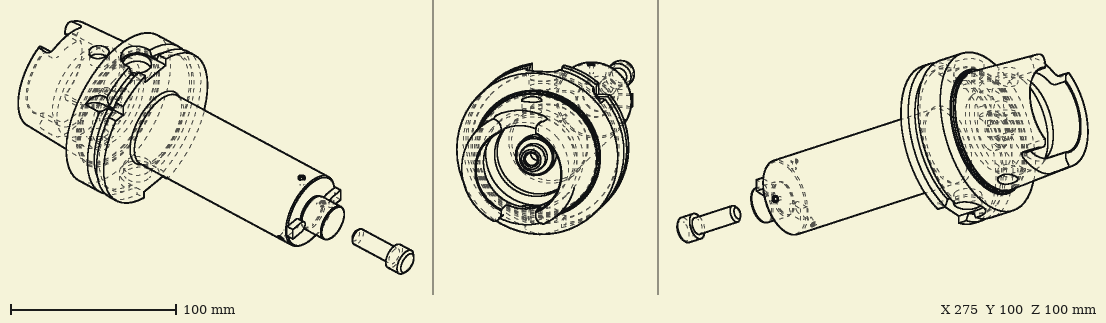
import cadquery as cq
import math

OVERALL_LENGTH = 275.0

FLANGE_START = 50.0
TAPER_BASE_RADIUS = 37.7
TAPER_TIP_RADIUS = 35.5
TIP_ROUNDING = 1.6
RELIEF_WIDTH = 2.5
RELIEF_DEPTH = 1.0
FACE_RECESS_RADIUS = 39.3
FACE_RECESS_DEPTH = 0.8

FLANGE_RADIUS = 50.0
FLANGE_END = 79.2
GROOVE_CENTRE = 70.0
GROOVE_OUTER_WIDTH = 7.2
GROOVE_INNER_WIDTH = 3.5
GROOVE_FLOOR_RADIUS = 45.6

ARBOR_RADIUS = 47.0 / 2
ARBOR_END = 200.2
ARBOR_CHAMFER = 0.8
NECK_LENGTH = 2.5
NECK_HEIGHT = 1.0
PILOT_RADIUS = 22.3 / 2
PILOT_RELIEF_RADIUS = 21.0 / 2
PILOT_RELIEF_WIDTH = 1.6
PILOT_RELIEF_SLOPE = 0.8
PILOT_END = 217.2
PILOT_TIP_RADIUS = 21.7 / 2
PILOT_TIP_LENGTH = 0.8

BORE_RADIUS = 26.5
BORE_CHAMFER = 0.5
BORE_LAND_END = 20.0
UNDERCUT_RADIUS = 30.2
UNDERCUT_START = 26.7
UNDERCUT_END = 42.5
BORE_FLOOR_RADIUS = 24.8
BORE_DEPTH = 49.5
NUT_RADIUS = 24.0 / 2
NUT_START = 42.5
NUT_CHAMFER = 0.8
TUBE_RADIUS = 16.0 / 2
TUBE_TIP_RADIUS = 12.0 / 2
TUBE_START = 34.0
TUBE_CHAMFER_LENGTH = 3.3
TUBE_HOLE_RADIUS = 7.7 / 2
TUBE_HOLE_CHAMFER = 0.8

SLOT_DEPTH_TOP = 10.0
SLOT_DEPTH_BOTTOM = 14.8
SLOT_HALF_WIDTH = 10.7
SLOT_FLARE_START = 26.5
SLOT_FLARE_RADIUS = 5.5
SLOT_FLOOR_FILLET = 2.8

ACCESS_HOLE_RADIUS = 12.0 / 2
ACCESS_HOLE_X = 35.2

KEYWAY_HALF_WIDTH_TOP = 10.0
KEYWAY_HALF_WIDTH_BOTTOM = 11.0
KEYWAY_END_X = 65.0
KEYWAY_FLOOR = 44.0
KEYWAY_HOLE_RADIUS = 8.5
KEYWAY_HOLE_DEPTH = 5.5
NOTCH_HALF_WIDTH = 10.0
NOTCH_CENTRE_Y = -41.2
NOTCH_FLOOR = 32.2

KEY_ROOT = 198.0
KEY_END = 204.5
KEY_HALF_WIDTH = 3.8
KEY_ROUND_CENTRE = 15.0
KEY_OUTER = 23.0

OUTLET_X = 192.8
OUTLET_RADIUS = 4.0 / 2
OUTLET_DEPTH = 0.8
OUTLET_BORE_RADIUS = 2.3 / 2
OUTLET_BORE_DEPTH = 5.5
OUTLET_COUNT = 3

SCREW_START = 234.8
SCREW_HEAD_START = 264.5
SCREW_SHANK_RADIUS = 10.5 / 2
SCREW_TIP_CHAMFER = 1.6
SCREW_HEAD_RADIUS = 16.0 / 2
SCREW_HEAD_CHAMFER = 1.6

CLEARANCE = 2.8


def turned(points):
    """Revolve a closed (x, radius) outline about the X axis."""
    return cq.Workplane("XY").polyline(points).close().revolve(360, (0, 0, 0), (1, 0, 0))


def vertical_cylinder(x, y, radius, z_low, z_high):
    return cq.Workplane("XY", origin=(x, y, z_low)).circle(radius).extrude(z_high - z_low)


def turned_below(shape):
    """The same shape on the opposite side of the X axis."""
    return shape.rotate((0, 0, 0), (1, 0, 0), 180)


def holder_blank():
    relief_start = FLANGE_START - RELIEF_WIDTH
    relief_radius = TAPER_BASE_RADIUS - RELIEF_DEPTH
    recess_floor = FLANGE_START + FACE_RECESS_DEPTH
    half_outer = GROOVE_OUTER_WIDTH / 2
    half_inner = GROOVE_INNER_WIDTH / 2
    pilot_start = ARBOR_END + PILOT_RELIEF_WIDTH
    round_middle = TIP_ROUNDING * (1 - math.sqrt(0.5))
    outline = (
        cq.Workplane("XY")
        .lineTo(0, TAPER_TIP_RADIUS - TIP_ROUNDING)
        .threePointArc((round_middle, TAPER_TIP_RADIUS - round_middle), (TIP_ROUNDING, TAPER_TIP_RADIUS))
        .lineTo(relief_start, TAPER_BASE_RADIUS)
        .lineTo(relief_start + RELIEF_DEPTH, relief_radius)
        .lineTo(FLANGE_START, relief_radius)
        .lineTo(recess_floor, relief_radius + FACE_RECESS_DEPTH)
        .lineTo(recess_floor, FACE_RECESS_RADIUS - FACE_RECESS_DEPTH)
        .lineTo(FLANGE_START, FACE_RECESS_RADIUS)
        .lineTo(FLANGE_START, FLANGE_RADIUS)
        .lineTo(GROOVE_CENTRE - half_outer, FLANGE_RADIUS)
        .lineTo(GROOVE_CENTRE - half_inner, GROOVE_FLOOR_RADIUS)
        .lineTo(GROOVE_CENTRE + half_inner, GROOVE_FLOOR_RADIUS)
        .lineTo(GROOVE_CENTRE + half_outer, FLANGE_RADIUS)
        .lineTo(FLANGE_END, FLANGE_RADIUS)
        .lineTo(FLANGE_END, ARBOR_RADIUS + NECK_HEIGHT)
        .lineTo(FLANGE_END + NECK_LENGTH, ARBOR_RADIUS)
        .lineTo(ARBOR_END - ARBOR_CHAMFER, ARBOR_RADIUS)
        .lineTo(ARBOR_END, ARBOR_RADIUS - ARBOR_CHAMFER)
        .lineTo(ARBOR_END, PILOT_RELIEF_RADIUS)
        .lineTo(pilot_start - PILOT_RELIEF_SLOPE, PILOT_RELIEF_RADIUS)
        .lineTo(pilot_start, PILOT_RADIUS)
        .lineTo(PILOT_END - PILOT_TIP_LENGTH, PILOT_RADIUS)
        .lineTo(PILOT_END, PILOT_TIP_RADIUS)
        .lineTo(PILOT_END, 0)
        .close()
    )
    return outline.revolve(360, (0, 0, 0), (1, 0, 0))


def bore_cutter():
    """Bore with an undercut behind its land, leaving the coolant tube and its nut on the floor."""
    return turned([
        (0, 0),
        (0, BORE_RADIUS + BORE_CHAMFER),
        (BORE_CHAMFER, BORE_RADIUS),
        (BORE_LAND_END, BORE_RADIUS),
        (UNDERCUT_START, UNDERCUT_RADIUS),
        (UNDERCUT_END, UNDERCUT_RADIUS),
        (UNDERCUT_END, BORE_FLOOR_RADIUS),
        (BORE_DEPTH, BORE_FLOOR_RADIUS),
        (BORE_DEPTH, NUT_RADIUS),
        (NUT_START + NUT_CHAMFER, NUT_RADIUS),
        (NUT_START, NUT_RADIUS - NUT_CHAMFER),
        (NUT_START, TUBE_RADIUS),
        (TUBE_START + TUBE_CHAMFER_LENGTH, TUBE_RADIUS),
        (TUBE_START, TUBE_TIP_RADIUS),
        (TUBE_START, TUBE_HOLE_RADIUS + TUBE_HOLE_CHAMFER),
        (TUBE_START + TUBE_HOLE_CHAMFER, TUBE_HOLE_RADIUS),
        (BORE_DEPTH, TUBE_HOLE_RADIUS),
        (BORE_DEPTH, 0),
    ])


def drive_slot(depth):
    """Slot whose flanks flare outwards and blend into its floor."""
    flare_top = SLOT_FLARE_START + SLOT_FLARE_RADIUS
    diagonal = SLOT_FLARE_RADIUS * math.sqrt(0.5)
    bend = (SLOT_HALF_WIDTH + SLOT_FLARE_RADIUS - diagonal, SLOT_FLARE_START + diagonal)
    outer = SLOT_HALF_WIDTH + SLOT_FLARE_RADIUS
    roof = TAPER_BASE_RADIUS + SLOT_FLARE_RADIUS
    base = BORE_RADIUS / 2
    return (
        cq.Workplane("YZ")
        .moveTo(-SLOT_HALF_WIDTH, base)
        .lineTo(SLOT_HALF_WIDTH, base)
        .lineTo(SLOT_HALF_WIDTH, SLOT_FLARE_START)
        .threePointArc(bend, (outer, flare_top))
        .lineTo(outer, roof)
        .lineTo(-outer, roof)
        .lineTo(-outer, flare_top)
        .threePointArc((-bend[0], bend[1]), (-SLOT_HALF_WIDTH, SLOT_FLARE_START))
        .close()
        .extrude(depth)
        .faces(">X").edges().fillet(SLOT_FLOOR_FILLET)
    )


def milled_slot(centre_y, half_width, floor):
    """Round-ended slot milled along Z, open towards +X at the flange rear."""
    height = FLANGE_RADIUS - floor + CLEARANCE
    run = FLANGE_END - KEYWAY_END_X
    channel = cq.Workplane("XY").box(run, 2 * half_width, height, centered=(False, True, False))
    channel = channel.translate((KEYWAY_END_X, centre_y, floor))
    return channel.union(
        vertical_cylinder(KEYWAY_END_X, centre_y, half_width, floor, floor + height)
    )


def keyway(half_width):
    pocket = vertical_cylinder(
        KEYWAY_END_X, 0, KEYWAY_HOLE_RADIUS, KEYWAY_FLOOR - KEYWAY_HOLE_DEPTH, FLANGE_RADIUS
    )
    return milled_slot(0, half_width, KEYWAY_FLOOR).union(pocket)


def drive_key():
    """Key on the +Y side of the arbor face, rounded at its inner end and rooted in the arbor."""
    face = cq.Workplane("YZ", origin=(KEY_ROOT, 0, 0))
    return (
        face.moveTo(KEY_OUTER, -KEY_HALF_WIDTH)
        .lineTo(KEY_OUTER, KEY_HALF_WIDTH)
        .lineTo(KEY_ROUND_CENTRE, KEY_HALF_WIDTH)
        .threePointArc(
            (KEY_ROUND_CENTRE - KEY_HALF_WIDTH, 0), (KEY_ROUND_CENTRE, -KEY_HALF_WIDTH)
        )
        .close()
        .extrude(KEY_END - KEY_ROOT)
    )


def coolant_outlet():
    mouth = vertical_cylinder(
        OUTLET_X, 0, OUTLET_RADIUS, ARBOR_RADIUS - OUTLET_DEPTH, ARBOR_RADIUS + CLEARANCE
    )
    passage = vertical_cylinder(
        OUTLET_X, 0, OUTLET_BORE_RADIUS, ARBOR_RADIUS - OUTLET_BORE_DEPTH, ARBOR_RADIUS
    )
    return mouth.union(passage)


def access_hole():
    """Radial hole from the bore out through the taper wall."""
    return vertical_cylinder(
        ACCESS_HOLE_X, 0, ACCESS_HOLE_RADIUS, BORE_FLOOR_RADIUS, TAPER_BASE_RADIUS + CLEARANCE
    )


def make_holder():
    holder = holder_blank().union(drive_key()).union(turned_below(drive_key()))
    holder = holder.cut(bore_cutter())
    holder = holder.cut(drive_slot(SLOT_DEPTH_TOP))
    holder = holder.cut(turned_below(drive_slot(SLOT_DEPTH_BOTTOM)))
    holder = holder.cut(milled_slot(NOTCH_CENTRE_Y, NOTCH_HALF_WIDTH, NOTCH_FLOOR))
    holder = holder.cut(access_hole()).cut(turned_below(access_hole()))
    holder = holder.cut(keyway(KEYWAY_HALF_WIDTH_TOP))
    holder = holder.cut(turned_below(keyway(KEYWAY_HALF_WIDTH_BOTTOM)))
    for index in range(OUTLET_COUNT):
        angle = index * 360 / OUTLET_COUNT
        holder = holder.cut(coolant_outlet().rotate((0, 0, 0), (1, 0, 0), angle))
    return holder


def make_screw():
    return turned([
        (SCREW_START, 0),
        (SCREW_START, SCREW_SHANK_RADIUS - SCREW_TIP_CHAMFER),
        (SCREW_START + SCREW_TIP_CHAMFER, SCREW_SHANK_RADIUS),
        (SCREW_HEAD_START, SCREW_SHANK_RADIUS),
        (SCREW_HEAD_START, SCREW_HEAD_RADIUS),
        (OVERALL_LENGTH - SCREW_HEAD_CHAMFER, SCREW_HEAD_RADIUS),
        (OVERALL_LENGTH, SCREW_HEAD_RADIUS - SCREW_HEAD_CHAMFER),
        (OVERALL_LENGTH, 0),
    ])


holder = make_holder()
screw = make_screw()

result = cq.Compound.makeCompound([holder.val(), screw.val()])